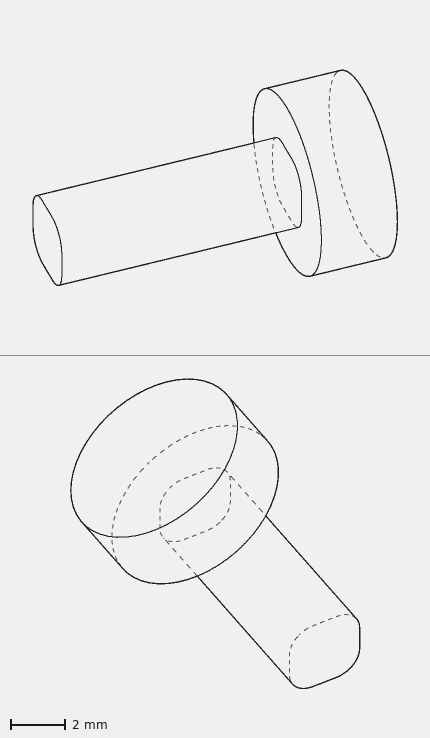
import cadquery as cq

total_length = 12.45
head_diameter = 7.12
head_thickness = 3.0
shank_width = 3.0
shank_corner_radius = 1.0

shank_length = total_length - head_thickness

head = cq.Workplane("XZ").circle(head_diameter / 2).extrude(-head_thickness)

shank = (
    cq.Workplane("XZ")
    .rect(shank_width, shank_width)
    .extrude(shank_length)
    .edges("|Y")
    .fillet(shank_corner_radius)
)

result = head.union(shank)